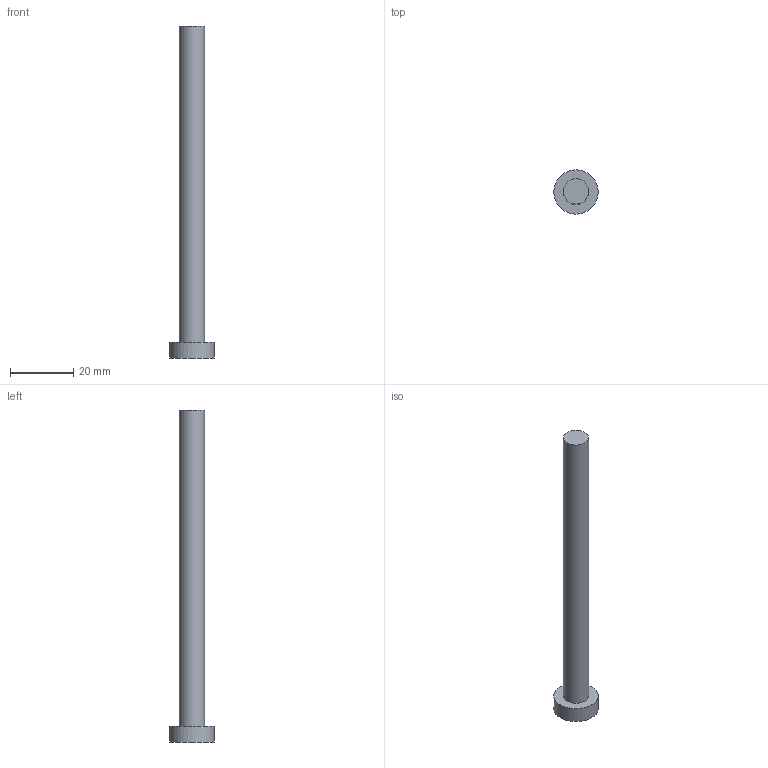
import cadquery as cq

head_diameter = 14.0
head_height = 5.0
shank_diameter = 8.0
overall_length = 105.0
shank_length = overall_length - head_height


def make_head():
    """Flat disc with its underside on the XY plane."""
    return cq.Workplane("XY").circle(head_diameter / 2).extrude(head_height)


def add_shank(head):
    """Raise the shank from the centre of the head's top face."""
    return head.faces(">Z").workplane().circle(shank_diameter / 2).extrude(shank_length)


result = add_shank(make_head())